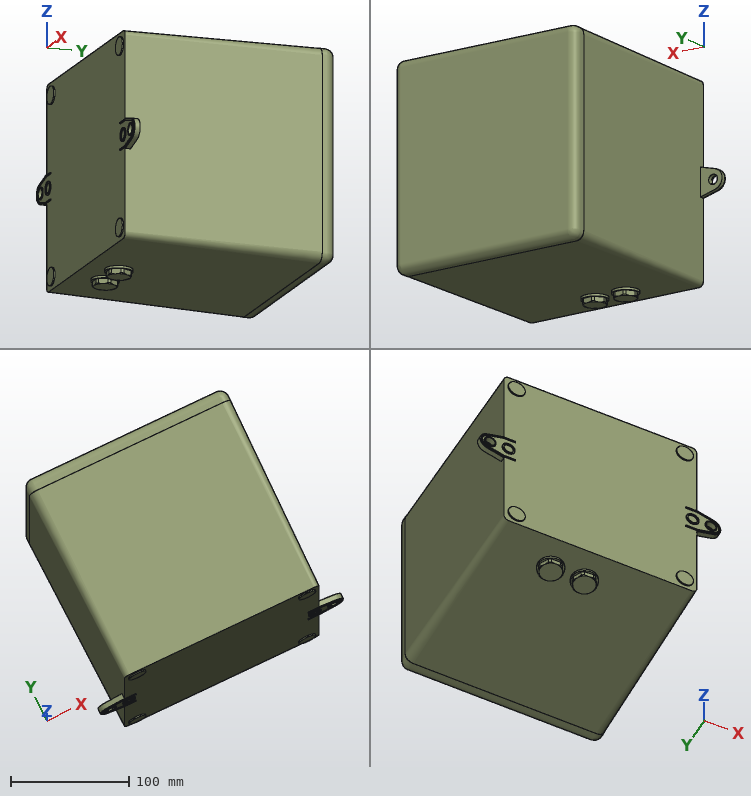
import cadquery as cq
import math


enclosure_size = 189.6
lid_depth = 12.3
lid_edge_radius = 7.6
lid_corner_radius = 7.4
corner_radius = 8.0
housing_depth = 178.0
draft_angle = 1.0
draft_slope = math.tan(math.radians(draft_angle))
back_half_size = enclosure_size / 2 - housing_depth * draft_slope

lug_tip_x = 228.93 / 2
lug_hole_x = 105.0
lug_tip_radius = lug_tip_x - lug_hole_x
lug_flare_angle = math.radians(15.0)
lug_root_x = 86.0
lug_thickness = 4.8
lug_hole_diameter = 9.0

rib_height = 0.8
rib_width = 1.0
rib_inset = 1.0
rib_half_span = 12.2
rib_end_x = 81.0
hole_ring_diameter = 11.0
blind_ring_x = 87.5
blind_ring_diameter = 12.0
blind_ring_bore = 9.0

foot_diameter = 16.0
foot_height = 1.2
foot_offset = 80.0

plug_positions_x = (-32.0, 0.0)
plug_turns = (30.0, 34.0)
plug_y = 30.0
flange_diameter = 24.0
flange_thickness = 2.1
hex_width = 20.0
hex_corner_diameter = 21.7
hex_height = 4.59
hex_chamfer = 0.8


def flare_z(x, radius):
    """Height of the flared side that is tangent to the tip arc of the given radius."""
    run = (lug_hole_x - x) * math.sin(lug_flare_angle)
    return (radius + run) / math.cos(lug_flare_angle)


def flare_x(z, radius):
    """Distance from the centre at which the flared side reaches height z."""
    return lug_hole_x - (z * math.cos(lug_flare_angle) - radius) / math.sin(lug_flare_angle)


def back_plane(y=0.0):
    """Workplane facing -Y, with its axes along +X and +Z."""
    return cq.Workplane("XZ", origin=(0, y, 0))


def tongue(radius, root_x, half_span, y):
    """Outline of a lug on the +X side: tip arc, flared sides, and straight sides at half_span."""
    tangent_x = lug_hole_x + radius * math.sin(lug_flare_angle)
    tangent_z = radius * math.cos(lug_flare_angle)
    bend_x = flare_x(half_span, radius)
    return (
        back_plane(y)
        .moveTo(root_x, -half_span)
        .lineTo(bend_x, -half_span)
        .lineTo(tangent_x, -tangent_z)
        .threePointArc((lug_hole_x + radius, 0), (tangent_x, tangent_z))
        .lineTo(bend_x, half_span)
        .lineTo(root_x, half_span)
        .close()
    )


def make_lug():
    """Lug on the +X side with its ribs, open at the inner end."""
    root_half_span = flare_z(back_half_size, lug_tip_radius)
    plate = tongue(lug_tip_radius, lug_root_x, root_half_span, lug_thickness).extrude(lug_thickness)
    rib_radius = lug_tip_radius - rib_inset
    rib = tongue(rib_radius, rib_end_x, rib_half_span, 0).extrude(rib_height)
    rib_inside = tongue(rib_radius - rib_width, rib_end_x, rib_half_span - rib_width, 0)
    rib = rib.cut(rib_inside.extrude(rib_height))
    hole_ring = back_plane().center(lug_hole_x, 0).circle(hole_ring_diameter / 2).extrude(rib_height)
    hole = (
        back_plane(lug_thickness)
        .center(lug_hole_x, 0)
        .circle(lug_hole_diameter / 2)
        .extrude(lug_thickness + rib_height)
    )
    blind_ring = (
        back_plane()
        .center(blind_ring_x, 0)
        .circle(blind_ring_diameter / 2)
        .circle(blind_ring_bore / 2)
        .extrude(rib_height)
    )
    return plate.union(rib).union(hole_ring).cut(hole).union(blind_ring)


def make_housing():
    box = (
        back_plane(housing_depth)
        .sketch()
        .rect(enclosure_size, enclosure_size)
        .vertices()
        .fillet(corner_radius)
        .finalize()
        .extrude(housing_depth, taper=draft_angle)
    )
    lug = make_lug()
    return box.union(lug).union(lug.mirror("YZ"))


def make_lid():
    plate = (
        back_plane(housing_depth + lid_depth)
        .rect(enclosure_size, enclosure_size)
        .extrude(lid_depth)
        .edges("|Y")
        .fillet(lid_corner_radius)
    )
    return plate.faces(">Y").edges().fillet(lid_edge_radius)


def make_foot(x, z):
    return back_plane().center(x, z).circle(foot_diameter / 2).extrude(foot_height)


def make_plug(x, turn):
    """Plug standing square on the drafted bottom wall: a round flange under a hexagonal head."""
    head = (
        cq.Workplane("XY", origin=(0, 0, flange_thickness))
        .polygon(6, hex_width, circumscribed=True)
        .extrude(hex_height)
    )
    turned_blank = (
        cq.Workplane("XY", origin=(0, 0, flange_thickness))
        .circle(hex_corner_diameter / 2)
        .extrude(hex_height)
        .faces(">Z")
        .chamfer(hex_chamfer)
    )
    head = head.intersect(turned_blank).rotate((0, 0, 0), (0, 0, 1), turn)
    flange = cq.Workplane("XY").circle(flange_diameter / 2).extrude(flange_thickness)
    wall_z = -back_half_size - plug_y * draft_slope
    plug = flange.union(head)
    return (
        plug.rotate((0, 0, 0), (1, 0, 0), 180 - draft_angle)
        .translate((x, plug_y, wall_z))
    )


housing = make_housing()
lid = make_lid()
feet = [
    make_foot(x, z)
    for x in (-foot_offset, foot_offset)
    for z in (-foot_offset, foot_offset)
]
plugs = [make_plug(x, turn) for x, turn in zip(plug_positions_x, plug_turns)]

result = cq.Compound.makeCompound(
    [housing.val(), lid.val()]
    + [foot.val() for foot in feet]
    + [plug.val() for plug in plugs]
)